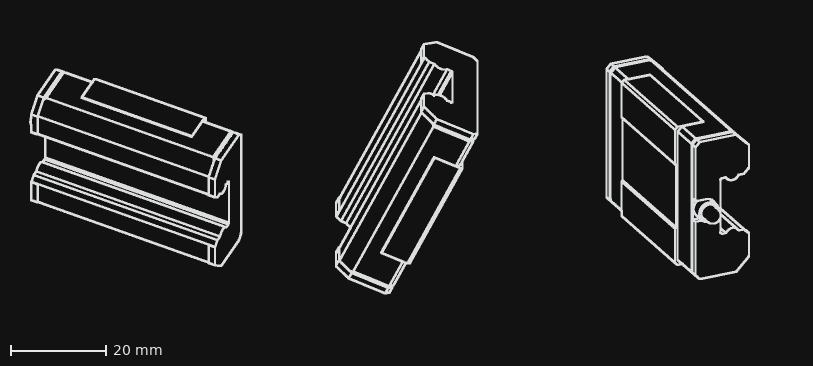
import cadquery as cq
import math


carriage_length = 43.0
cap_height = 31.8
cap_depth = 12.5
cap_length = 1.5
front_chamfer = 3.0
back_chamfer = 1.0
block_front_inset = 0.15
block_end_chamfer = 0.5

channel_floor = 6.6
channel_half_width = 6.45
mouth_chamfer = 1.05
floor_corner_chamfer = 0.3
bead_width = 3.0
bead_foot_bevel = 0.1
bead_y = 3.9
bead_rise = 0.9

pad_length = 25.8
pad_front = 6.45
pad_width = 32.0
pad_back = 13.1
pad_corner_chamfer = 0.6
relief_half_width = 7.2
relief_depth = 0.25

nipple_y = 10.1
collar_diameter = 4.5
collar_protrusion = 1.5
stem_diameter = 3.5
nipple_protrusion = 5.0
slot_width = 4.75
slot_depth = 1.2

half_height = cap_height / 2
block_length = carriage_length - 2 * cap_length


def extrude_along_x(outline, x_start, length):
    """Close a YZ outline and extrude it along +X."""
    return outline.close().extrude(length).translate((x_start, 0, 0))


def symmetric_bar(upper_points, x_start, length):
    """Bar along X whose outline is the given upper YZ points and their mirror image below Z = 0."""
    lower_points = [(y, -z) for y, z in reversed(upper_points)]
    outline = cq.Workplane("YZ").polyline(upper_points + lower_points)
    return extrude_along_x(outline, x_start, length)


def outer_bar(front, x_start, length):
    """Bar with the chamfered outside shape of the carriage and its front face at Y = front."""
    upper_points = [
        (front, half_height - front_chamfer),
        (front + front_chamfer, half_height),
        (cap_depth - back_chamfer, half_height),
        (cap_depth, half_height - back_chamfer),
    ]
    return symmetric_bar(upper_points, x_start, length)


def make_block():
    """Middle block, bevelled at both ends along its sides and back but not along its front."""
    envelope = (
        cq.Workplane("YZ")
        .rect(2 * cap_depth, cap_height)
        .extrude(block_length)
        .edges("|X and >Y")
        .chamfer(back_chamfer)
        .faces("<X or >X")
        .chamfer(block_end_chamfer)
        .translate((cap_length, 0, 0))
    )
    return outer_bar(block_front_inset, cap_length, block_length).intersect(envelope)


def make_pad():
    """Pad proud of the block's sides and back, with a bevelled front edge and a relief across its back."""
    side = pad_width / 2
    back = pad_back
    upper_points = [
        (pad_front, half_height),
        (pad_front + side - half_height, side),
        (back - pad_corner_chamfer, side),
        (back, side - pad_corner_chamfer),
        (back, relief_half_width + relief_depth),
        (back - relief_depth, relief_half_width),
    ]
    x_start = (carriage_length - pad_length) / 2
    return symmetric_bar(upper_points, x_start, pad_length)


def make_bead(side):
    """Low rounded bead on one channel wall, standing on a bevelled foot."""
    foot = bead_width / 2
    shoulder = foot - bead_foot_bevel
    wall_z = side * channel_half_width
    shoulder_z = side * (channel_half_width - bead_foot_bevel)
    outline = (
        cq.Workplane("YZ")
        .moveTo(bead_y - foot, wall_z)
        .lineTo(bead_y - shoulder, shoulder_z)
        .threePointArc(
            (bead_y, side * (channel_half_width - bead_rise)),
            (bead_y + shoulder, shoulder_z),
        )
        .lineTo(bead_y + foot, wall_z)
    )
    return extrude_along_x(outline, 0, carriage_length)


def make_channel():
    """Rail channel with a flared mouth, bevelled floor corners and a round bead along each wall."""
    wall = channel_half_width
    mouth = wall + mouth_chamfer
    upper_points = [
        (0, mouth),
        (block_front_inset, mouth),
        (block_front_inset + mouth_chamfer, wall),
        (channel_floor - floor_corner_chamfer, wall),
        (channel_floor, wall - floor_corner_chamfer),
    ]
    channel = symmetric_bar(upper_points, 0, carriage_length)
    for side in (1, -1):
        channel = channel.cut(make_bead(side))
    return channel


def make_nipple_slot():
    """Round-bottomed slot in the first cap, open to the back."""
    radius = slot_width / 2
    outline = (
        cq.Workplane("YZ")
        .moveTo(cap_depth, radius)
        .lineTo(nipple_y, radius)
        .threePointArc((nipple_y - radius, 0), (nipple_y, -radius))
        .lineTo(cap_depth, -radius)
    )
    return extrude_along_x(outline, 0, slot_depth)


def make_carriage():
    """Block, pad and both end caps in one piece, cut by the rail channel and the nipple slot."""
    carriage = make_block().union(make_pad())
    for cap_start in (0, carriage_length - cap_length):
        carriage = carriage.union(outer_bar(0, cap_start, cap_length))
    return carriage.cut(make_channel()).cut(make_nipple_slot())


def make_nipple():
    """Collar, stem and hemispherical tip, turned about an axis along X."""
    collar_radius = collar_diameter / 2
    stem_radius = stem_diameter / 2
    dome_x = stem_radius - nipple_protrusion
    dome_middle = stem_radius * math.sqrt(0.5)
    return (
        cq.Workplane("XY")
        .moveTo(slot_depth, 0)
        .lineTo(slot_depth, collar_radius)
        .lineTo(-collar_protrusion, collar_radius)
        .lineTo(-collar_protrusion, stem_radius)
        .lineTo(dome_x, stem_radius)
        .threePointArc((dome_x - dome_middle, dome_middle), (-nipple_protrusion, 0))
        .close()
        .revolve(360, (0, 0, 0), (1, 0, 0))
        .translate((0, nipple_y, 0))
    )


carriage = make_carriage()
nipple = make_nipple()

result = cq.Compound.makeCompound([carriage.val(), nipple.val()])